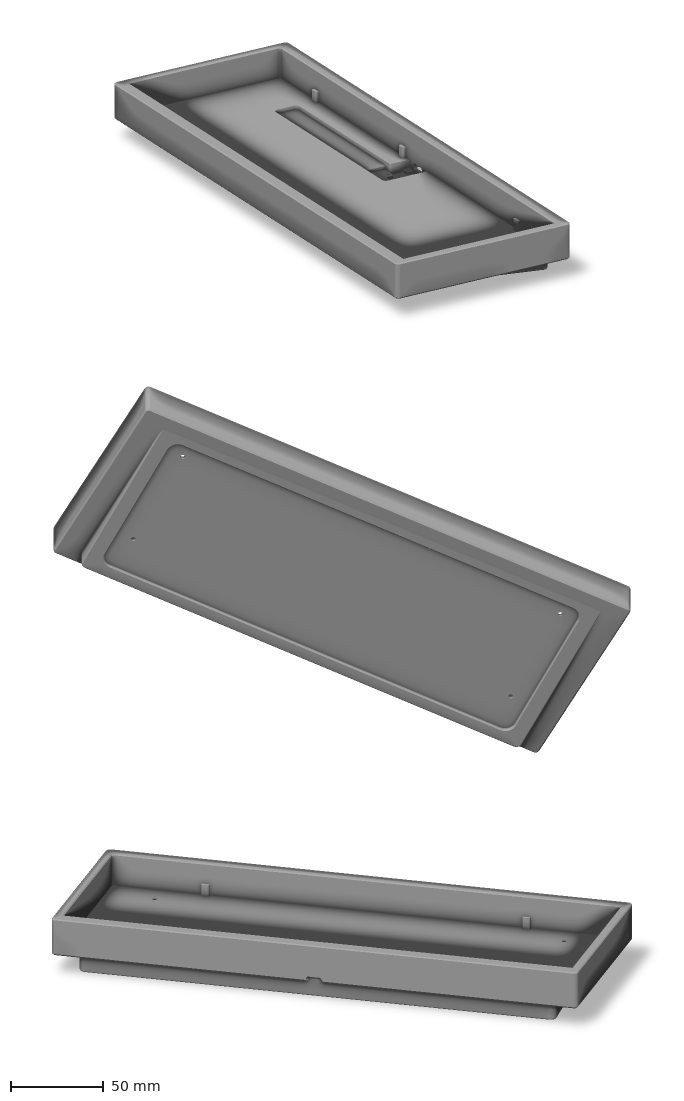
import cadquery as cq
import math

LENGTH = 295.8
WIDTH = 110.3
HEIGHT = 31.0
TRAY_BOTTOM_Z = 10.0
FLOOR_Z = 13.0
SIDE_WALL = 5.0
LONG_WALL = 7.5
TRAY_CORNER_RADIUS = 2.5
CAVITY_CORNER_RADIUS = 1.2
TOP_CHAMFER = 0.5
BOTTOM_CHAMFER = 1.0
BEVEL_ANGLE = 45.0

FOOT_LENGTH = 268.0
FOOT_REAR_INSET = 5.3
FOOT_FRONT_INSET = 6.0
FOOT_ANGLE = math.radians(6.0)
FOOT_CORNER_RADIUS = 3.3
FOOT_EDGE_FILLET = 1.0

RECESS_LENGTH = 249.5
RECESS_DEPTH = 2.0
RECESS_EDGE_CHAMFER = 0.5
RECESS_REAR_MARGIN = 7.0
RECESS_FRONT_MARGIN = 7.7
RECESS_CORNER_RADIUS = 6.0

PAD_HOLE_DIAMETER = 2.5
PAD_HOLE_DEPTH = 3.5
PAD_HOLE_X = 115.0
PAD_HOLE_FRONT_Y = -34.5
PAD_HOLE_REAR_Y = 23.0

TAB_WIDTH = 4.5
TAB_DEPTH = 2.0
TAB_HEIGHT = 6.5
TAB_CORNER_RADIUS = 1.0
REAR_TAB_X = (-105.0, -14.5, 105.0)
FRONT_TAB_X = (-90.2, 90.2)

BAY_CENTER_X = 0.0
BAY_WIDTH = 19.0
BAY_DEPTH = 4.7
BAY_CORNER_RADIUS = 1.5
SLOT_LEFT_X = -106.0
SLOT_STEP_X = -14.2
SLOT_REAR_Y = 36.0
SLOT_FRONT_Y = 21.0
SLOT_DEPTH = 2.7
SLOT_CORNER_RADIUS = 2.5

RELIEF_DEPTH = 1.8
RELIEF_CENTER_Y = 40.0
RELIEF_STEM_WIDTH = 9.5
RELIEF_STEM_LENGTH = 18.3
RELIEF_ARM_WIDTH = 8.5
RELIEF_CORNER_RADIUS = 1.5
RELIEF_ARM_RADIUS = 1.0
POST_CORNER_RADIUS = 1.2
POST_HOLE_DIAMETER = 1.6
POST_HOLE_DEPTH = 3.0
POST_SPACING_X = 14.2
POST_SPACING_Y = 12.5

PORT_WIDTH = 9.0
PORT_HEIGHT = 3.5
PORT_RISE = 1.2
PORT_CORNER_RADIUS = 1.5

SELECTION_GAP = 0.3

REAR_Y = WIDTH / 2
FOOT_REAR_Y = REAR_Y - FOOT_REAR_INSET
SLOPE = math.tan(FOOT_ANGLE)
FOOT_FRONT_Y = -REAR_Y + FOOT_FRONT_INSET
FOOT_CORNER_Z = -FOOT_EDGE_FILLET * (SLOPE + 1 / math.cos(FOOT_ANGLE) - 1)
FOOT_TOP_Z = FLOOR_Z
FOOT_RUN = FOOT_REAR_Y - FOOT_FRONT_Y
CAVITY_REAR_Y = REAR_Y - LONG_WALL
BAY_RIGHT_X = BAY_CENTER_X + BAY_WIDTH / 2
BAY_LEFT_X = BAY_CENTER_X - BAY_WIDTH / 2
BAY_FLOOR_Z = FLOOR_Z - BAY_DEPTH
PORT_BOTTOM_Z = BAY_FLOOR_Z + PORT_RISE
UNDERSIDE = cq.Plane(
    origin=(0, FOOT_REAR_Y, FOOT_CORNER_Z),
    xDir=(1, 0, 0),
    normal=(0, -math.sin(FOOT_ANGLE), -math.cos(FOOT_ANGLE)),
)


def block(x_min, x_max, y_min, y_max, z_min, z_max):
    size = (x_max - x_min, y_max - y_min, z_max - z_min)
    return cq.Workplane("XY").box(*size, centered=False).translate((x_min, y_min, z_min))


def make_tray():
    tray = (
        cq.Workplane("XY", origin=(0, 0, TRAY_BOTTOM_Z))
        .rect(LENGTH, WIDTH)
        .extrude(HEIGHT - TRAY_BOTTOM_Z)
        .edges("|Z")
        .fillet(TRAY_CORNER_RADIUS)
        .faces(">Z")
        .chamfer(TOP_CHAMFER)
        .faces("<Z")
        .chamfer(BOTTOM_CHAMFER)
    )
    cavity_size = (LENGTH - 2 * SIDE_WALL, WIDTH - 2 * LONG_WALL)
    cavity = (
        cq.Workplane("XY", origin=(0, 0, FLOOR_Z))
        .rect(*cavity_size)
        .extrude(HEIGHT - FLOOR_Z)
        .edges("|Z")
        .fillet(CAVITY_CORNER_RADIUS)
    )
    rim_bevel = (
        cq.Workplane("XY", origin=(0, 0, HEIGHT))
        .rect(cavity_size[0] + 2 * TOP_CHAMFER, cavity_size[1] + 2 * TOP_CHAMFER)
        .extrude(-2 * TOP_CHAMFER, taper=BEVEL_ANGLE)
    )
    return tray.cut(cavity).cut(rim_bevel)


def make_foot():
    return (
        cq.Workplane("YZ")
        .moveTo(FOOT_REAR_Y, FOOT_CORNER_Z)
        .lineTo(FOOT_REAR_Y, FOOT_TOP_Z)
        .lineTo(FOOT_FRONT_Y, FOOT_TOP_Z)
        .lineTo(FOOT_FRONT_Y, FOOT_CORNER_Z + FOOT_RUN * SLOPE)
        .close()
        .extrude(FOOT_LENGTH / 2, both=True)
        .edges("|Z")
        .fillet(FOOT_CORNER_RADIUS)
        .faces("<Z")
        .edges()
        .fillet(FOOT_EDGE_FILLET)
    )


def make_recess():
    margins = RECESS_REAR_MARGIN + RECESS_FRONT_MARGIN
    recess_width = FOOT_RUN / math.cos(FOOT_ANGLE) - margins
    center_along_slope = RECESS_REAR_MARGIN + recess_width / 2
    recess = (
        cq.Workplane(UNDERSIDE)
        .center(0, center_along_slope)
        .rect(RECESS_LENGTH, recess_width)
        .extrude(-RECESS_DEPTH)
        .edges(cq.selectors.ParallelDirSelector(UNDERSIDE.zDir))
        .fillet(RECESS_CORNER_RADIUS)
    )
    mouth = (
        recess.faces(cq.selectors.DirectionMinMaxSelector(UNDERSIDE.zDir))
        .wires()
        .toPending()
        .offset2D(RECESS_EDGE_CHAMFER)
        .extrude(-2 * RECESS_EDGE_CHAMFER, combine=False, taper=BEVEL_ANGLE)
    )
    return recess.union(mouth)


def make_pad_holes():
    along_slope = [
        (FOOT_REAR_Y - y) / math.cos(FOOT_ANGLE)
        for y in (PAD_HOLE_FRONT_Y, PAD_HOLE_REAR_Y)
    ]
    points = [(x, s) for x in (-PAD_HOLE_X, PAD_HOLE_X) for s in along_slope]
    return (
        cq.Workplane(UNDERSIDE)
        .pushPoints(points)
        .circle(PAD_HOLE_DIAMETER / 2)
        .extrude(-(RECESS_DEPTH + PAD_HOLE_DEPTH))
    )


def make_tab(x, side):
    wall_y = side * CAVITY_REAR_Y
    tip_y = wall_y - side * TAB_DEPTH
    return (
        block(x - TAB_WIDTH / 2, x + TAB_WIDTH / 2, min(wall_y, tip_y), max(wall_y, tip_y),
              FLOOR_Z, FLOOR_Z + TAB_HEIGHT)
        .edges("|Z")
        .edges("<Y" if side > 0 else ">Y")
        .fillet(TAB_CORNER_RADIUS)
    )


def make_slot_and_bay():
    slot = (
        block(SLOT_LEFT_X, BAY_RIGHT_X, SLOT_FRONT_Y, SLOT_REAR_Y, FLOOR_Z - SLOT_DEPTH, FLOOR_Z)
        .edges("|Z")
        .fillet(SLOT_CORNER_RADIUS)
    )
    bay = (
        cq.Workplane("XY", origin=(0, 0, BAY_FLOOR_Z))
        .moveTo(SLOT_STEP_X, SLOT_FRONT_Y)
        .lineTo(BAY_RIGHT_X, SLOT_FRONT_Y)
        .lineTo(BAY_RIGHT_X, CAVITY_REAR_Y)
        .lineTo(BAY_LEFT_X, CAVITY_REAR_Y)
        .lineTo(BAY_LEFT_X, SLOT_REAR_Y)
        .lineTo(SLOT_STEP_X, SLOT_REAR_Y)
        .close()
        .extrude(BAY_DEPTH)
        .edges("|Z and >X and <Y")
        .fillet(SLOT_CORNER_RADIUS)
    )
    leg_corners = [
        (BAY_LEFT_X, CAVITY_REAR_Y),
        (BAY_RIGHT_X, CAVITY_REAR_Y),
        (BAY_LEFT_X, SLOT_REAR_Y),
    ]
    for x, y in leg_corners:
        bay = (
            bay.edges("|Z")
            .edges(cq.selectors.NearestToPointSelector((x, y, FLOOR_Z)))
            .fillet(BAY_CORNER_RADIUS)
        )
    return slot.union(bay)


def make_relief():
    floor_z = BAY_FLOOR_Z - RELIEF_DEPTH
    stem_front_y = RELIEF_CENTER_Y - RELIEF_STEM_LENGTH / 2
    half_stem = RELIEF_STEM_WIDTH / 2
    half_arm = RELIEF_ARM_WIDTH / 2
    stem = block(BAY_CENTER_X - half_stem, BAY_CENTER_X + half_stem, stem_front_y, CAVITY_REAR_Y,
                 floor_z, BAY_FLOOR_Z)
    arms = block(BAY_LEFT_X, BAY_RIGHT_X, RELIEF_CENTER_Y - half_arm, RELIEF_CENTER_Y + half_arm,
                 floor_z, BAY_FLOOR_Z)
    reach_x = half_stem + SELECTION_GAP
    reach_y = half_arm + SELECTION_GAP
    post_corners = cq.selectors.BoxSelector(
        (BAY_CENTER_X - reach_x, RELIEF_CENTER_Y - reach_y, floor_z),
        (BAY_CENTER_X + reach_x, RELIEF_CENTER_Y + reach_y, BAY_FLOOR_Z),
    )
    relief = (
        stem.union(arms)
        .edges("|Z")
        .edges(post_corners)
        .fillet(POST_CORNER_RADIUS)
        .edges("|Z and <Y")
        .fillet(RELIEF_CORNER_RADIUS)
        .edges("|Z and (<X or >X)")
        .fillet(RELIEF_ARM_RADIUS)
    )
    post_holes = (
        cq.Workplane("XY", origin=(BAY_CENTER_X, RELIEF_CENTER_Y, BAY_FLOOR_Z))
        .rect(POST_SPACING_X, POST_SPACING_Y, forConstruction=True)
        .vertices()
        .circle(POST_HOLE_DIAMETER / 2)
        .extrude(-POST_HOLE_DEPTH)
    )
    return relief.union(post_holes)


def make_port():
    return (
        block(BAY_CENTER_X - PORT_WIDTH / 2, BAY_CENTER_X + PORT_WIDTH / 2, CAVITY_REAR_Y, REAR_Y,
              PORT_BOTTOM_Z, PORT_BOTTOM_Z + PORT_HEIGHT)
        .edges("|Y")
        .fillet(PORT_CORNER_RADIUS)
    )


result = make_tray().union(make_foot())
result = result.cut(make_recess()).cut(make_pad_holes())
result = result.cut(make_slot_and_bay()).cut(make_relief()).cut(make_port())
for tab_x in REAR_TAB_X:
    result = result.union(make_tab(tab_x, 1))
for tab_x in FRONT_TAB_X:
    result = result.union(make_tab(tab_x, -1))